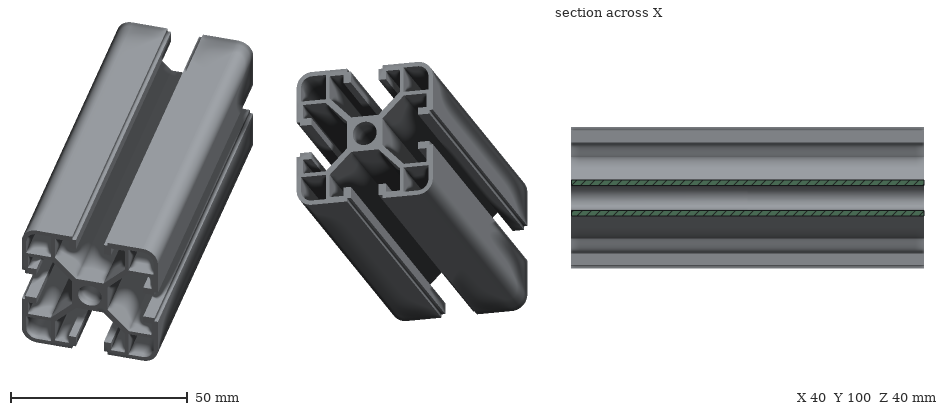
import cadquery as cq

side = 40.0
length = 100.0
half = side / 2

corner_radius = 4.5
skin = 1.3
web_start = 10.3
web_thickness = 1.1
cavity_start = web_start + web_thickness

slot_half_width = 4.1
lip_thickness = 2.1
lip_depth = 4.3
slot_skin = 1.8
step_half_width = 5.2
step_depth = 1.0
slot_fillet = 0.3
step_fillet = 0.2

core_half = 5.2
arm_half_offset = 1.2
bore_diameter = 7.0

quarter_turns = (0, 90, 180, 270)


def prism(outline):
    """Extrude an XZ outline over the full length, centred on Y = 0."""
    return outline.extrude(length / 2, both=True)


def turned(cutter, angle):
    """Turn a cutter about the bar's axis."""
    return cutter.rotate((0, 0, 0), (0, 1, 0), angle)


def fillet_pair(body, x, z, radius):
    """Round the two lengthwise edges at (-x, z) and (+x, z)."""
    edges = body.edges(cq.selectors.NearestToPointSelector((x, 0, z)))
    edges = edges.add(body.edges(cq.selectors.NearestToPointSelector((-x, 0, z))))
    return edges.fillet(radius)


def slot():
    """Open T-slot in the +Z side, running the full length."""
    slot_top = half - slot_skin
    lip_tip = half - lip_depth
    lip_end = slot_half_width + lip_thickness
    step_floor = half - step_depth
    right_side = [
        (core_half - arm_half_offset, core_half),
        (web_start, web_start + arm_half_offset),
        (web_start, slot_top),
        (lip_end, slot_top),
        (lip_end, lip_tip),
        (slot_half_width, lip_tip),
        (slot_half_width, step_floor),
        (step_half_width, step_floor),
        (step_half_width, half),
    ]
    left_side = [(-x, z) for x, z in reversed(right_side)]
    cutter = prism(cq.Workplane("XZ").polyline(right_side + left_side).close())
    cutter = fillet_pair(cutter, web_start, slot_top, slot_fillet)
    return fillet_pair(cutter, step_half_width, step_floor, step_fillet)


def corner_cavity():
    """Closed cavity in the +X +Z corner, rounded concentric with the outer corner."""
    width = half - skin - cavity_start
    center = cavity_start + width / 2
    cutter = prism(cq.Workplane("XZ").center(center, center).rect(width, width))
    return cutter.edges(">X and >Z").fillet(corner_radius - skin)


bar = prism(cq.Workplane("XZ").rect(side, side)).edges("|Y").fillet(corner_radius)
for angle in quarter_turns:
    bar = bar.cut(turned(slot(), angle))
    bar = bar.cut(turned(corner_cavity(), angle))

bore = prism(cq.Workplane("XZ").circle(bore_diameter / 2))
result = bar.cut(bore)